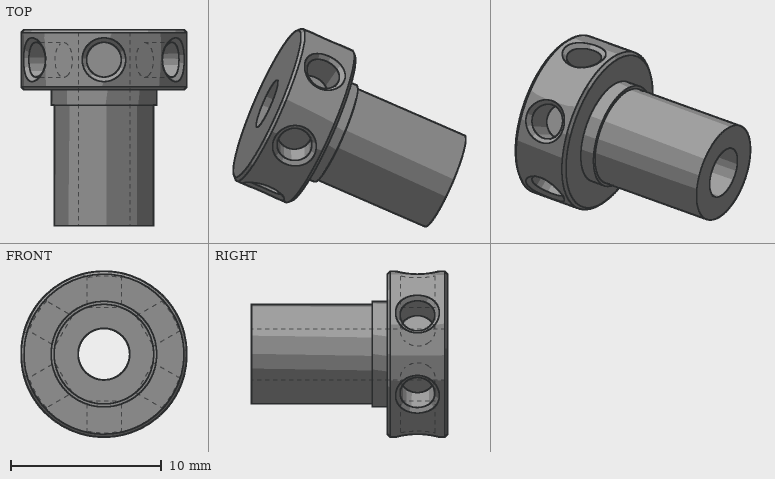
import cadquery as cq

total_length = 13.0
head_length = 4.0
collar_length = 1.0
shank_length = total_length - head_length - collar_length

head_diameter = 11.0
collar_diameter = 7.0
shank_diameter = 6.6
bore_diameter = 3.4
head_chamfer = 0.2

bar_hole_count = 6
bar_hole_spacing = 360 / bar_hole_count
bar_hole_diameter = 2.3
bar_hole_chamfer = 0.3
bar_hole_floor_radius = 3.1

shank_end = 0.0
collar_start = shank_end + shank_length
head_start = collar_start + collar_length
head_middle = head_start + head_length / 2


def cylinder_along_y(diameter, start, length):
    """Solid cylinder on the part axis, running from start toward +Y."""
    plane = cq.Plane(origin=(0, start, 0), xDir=(1, 0, 0), normal=(0, 1, 0))
    return cq.Workplane(plane).circle(diameter / 2).extrude(length)


def make_head():
    """Round head with both outer rims chamfered."""
    head = cylinder_along_y(head_diameter, head_start, head_length)
    return head.faces("<Y or >Y").edges().chamfer(head_chamfer)


def bar_hole_cutter(angle):
    """Radial cutter, turned about Y from +Z, from the hole floor out past the head's rim."""
    cutter = (
        cq.Workplane("XY", origin=(0, head_middle, bar_hole_floor_radius))
        .circle(bar_hole_diameter / 2)
        .extrude(head_diameter / 2)
    )
    return cutter.rotate((0, 0, 0), (0, 1, 0), angle)


def cut_bar_holes(head):
    """Cut the ring of radial holes, then chamfer every hole mouth."""
    for index in range(bar_hole_count):
        head = head.cut(bar_hole_cutter(index * bar_hole_spacing))

    mouths = head.edges("(not %LINE) and (not %CIRCLE)")
    return mouths.chamfer(bar_hole_chamfer)


shank = cylinder_along_y(shank_diameter, shank_end, shank_length)
collar = cylinder_along_y(collar_diameter, collar_start, collar_length)
bore = cylinder_along_y(bore_diameter, shank_end, total_length)

result = cut_bar_holes(make_head()).union(collar).union(shank).cut(bore)